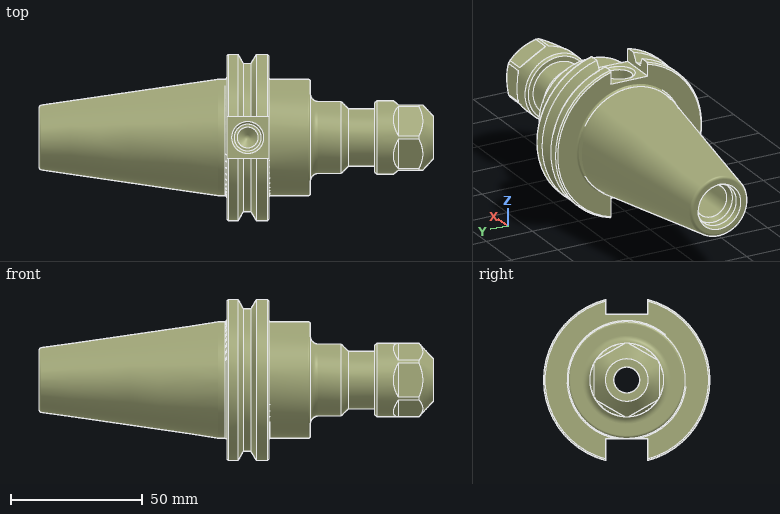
import cadquery as cq
import math


total_length = 150.0
through_bore_dia = 9.8

taper_ratio = 7 / 24
gauge_dia = 44.4
taper_end_x = 68.3
tail_edge_length = 0.9
tail_edge_depth = 1.2

tail_countersink_dia = 18.5
tail_countersink_depth = 2.1
pilot_bore_dia = 16.8
pilot_bore_depth = 5.1
pilot_cone_length = 1.4
thread_bore_dia = 13.4
thread_bore_depth = 30.0

flange_dia = 63.3
flange_start_x = 71.4
flange_width = 16.0
flange_chamfer = 0.6
flange_rear_fillet = 0.8
flange_front_fillet = 0.5
groove_floor_dia = 56.5
groove_start_x = 75.8
groove_floor_start_x = 77.7
groove_floor_end_x = 80.6
groove_end_x = 82.7

slot_width = 15.9
upper_slot_floor = 25.0
lower_slot_floor = 22.4
side_hole_x = 79.4
side_countersink_dia = 12.2
side_hole_dia = 10.2
side_hole_depth = 6.0
side_drill_dia = 8.0
side_drill_depth = 9.0
drill_point_angle = 118.0

hub_dia = 44.4
hub_end_x = 103.2
hub_edge_radius = 0.9
nose_dia = 27.5
nose_fillet_radius = 3.0
nose_cone_start_x = 115.0
stem_dia = 22.0

nut_dia = 28.0
nut_start_x = 127.5
nut_rear_chamfer = 0.9
nut_socket_depth = 13.5
nut_cone_start_x = 144.5
nut_face_dia = 16.8
nut_face_lip = 0.3
hex_across_flats = 24.9
hex_start_x = 136.7
hex_bevel_length = 2.0


def cone_rise(start_dia, end_dia):
    """Axial length of a 45 degree cone between two diameters."""
    return abs(start_dia - end_dia) / 2


def revolve_about_x(profile):
    """Turn a closed (x, radius) profile about the X axis."""
    return profile.close().revolve(360, (0, 0, 0), (1, 0, 0))


def turned_holder():
    """Outside of the holder, solid along the axis."""
    flange_end_x = flange_start_x + flange_width
    gauge_r = gauge_dia / 2
    flange_r = flange_dia / 2
    floor_r = groove_floor_dia / 2
    hub_r = hub_dia / 2
    nose_r = nose_dia / 2
    stem_r = stem_dia / 2
    tail_r = gauge_r - (taper_end_x - tail_edge_length) * taper_ratio / 2

    profile = (
        cq.Workplane("XY")
        .moveTo(0, 0)
        .lineTo(0, tail_r - tail_edge_depth)
        .tangentArcPoint((tail_edge_length, tail_r), relative=False)
        .lineTo(taper_end_x, gauge_r)
        .lineTo(flange_start_x - flange_rear_fillet, gauge_r)
        .tangentArcPoint((flange_start_x, gauge_r + flange_rear_fillet), relative=False)
        .lineTo(flange_start_x, flange_r - flange_chamfer)
        .lineTo(flange_start_x + flange_chamfer, flange_r)
        .lineTo(groove_start_x, flange_r)
        .lineTo(groove_floor_start_x, floor_r)
        .lineTo(groove_floor_end_x, floor_r)
        .lineTo(groove_end_x, flange_r)
        .lineTo(flange_end_x - flange_chamfer, flange_r)
        .lineTo(flange_end_x, flange_r - flange_chamfer)
        .lineTo(flange_end_x, hub_r + flange_front_fillet)
        .tangentArcPoint((flange_end_x + flange_front_fillet, hub_r), relative=False)
        .lineTo(hub_end_x - hub_edge_radius, hub_r)
        .tangentArcPoint((hub_end_x, hub_r - hub_edge_radius), relative=False)
        .lineTo(hub_end_x, nose_r + nose_fillet_radius)
        .tangentArcPoint((hub_end_x + nose_fillet_radius, nose_r), relative=False)
        .lineTo(nose_cone_start_x, nose_r)
        .lineTo(nose_cone_start_x + cone_rise(nose_dia, stem_dia), stem_r)
        .lineTo(nut_start_x + nut_socket_depth, stem_r)
        .lineTo(nut_start_x + nut_socket_depth, 0)
    )
    return revolve_about_x(profile)


def holder_bore():
    """Stepped bore, from the tail countersink to the through bore."""
    bore_cone_length = cone_rise(thread_bore_dia, through_bore_dia)
    profile = (
        cq.Workplane("XY")
        .moveTo(0, 0)
        .lineTo(0, tail_countersink_dia / 2)
        .lineTo(tail_countersink_depth, pilot_bore_dia / 2)
        .lineTo(pilot_bore_depth, pilot_bore_dia / 2)
        .lineTo(pilot_bore_depth + pilot_cone_length, thread_bore_dia / 2)
        .lineTo(thread_bore_depth, thread_bore_dia / 2)
        .lineTo(thread_bore_depth + bore_cone_length, through_bore_dia / 2)
        .lineTo(total_length, through_bore_dia / 2)
        .lineTo(total_length, 0)
    )
    return revolve_about_x(profile)


def drive_slot(floor_height, side):
    """Slot across the flange and its root fillets; side is +1 above the axis and -1 below it."""
    slot_start_x = flange_start_x - flange_rear_fillet
    slot_length = flange_rear_fillet + flange_width + flange_front_fillet
    slot_depth = flange_dia / 2 - floor_height
    return (
        cq.Workplane("XY")
        .box(slot_length, slot_width, slot_depth, centered=(False, True, True))
        .translate((slot_start_x, 0, side * (floor_height + slot_depth / 2)))
    )


def side_hole():
    """Blind countersunk hole in the floor of the upper slot, with a drill point."""
    countersink_depth = cone_rise(side_countersink_dia, side_hole_dia)
    point_length = side_drill_dia / 2 / math.tan(math.radians(drill_point_angle / 2))
    return (
        cq.Workplane("XZ")
        .moveTo(0, 0)
        .lineTo(side_countersink_dia / 2, 0)
        .lineTo(side_hole_dia / 2, -countersink_depth)
        .lineTo(side_hole_dia / 2, -side_hole_depth)
        .lineTo(side_drill_dia / 2, -side_hole_depth)
        .lineTo(side_drill_dia / 2, -side_drill_depth)
        .lineTo(0, -side_drill_depth - point_length)
        .close()
        .revolve(360, (0, 0, 0), (0, 1, 0))
        .translate((side_hole_x, 0, upper_slot_floor))
    )


def make_holder():
    return (
        turned_holder()
        .cut(holder_bore())
        .cut(drive_slot(upper_slot_floor, 1))
        .cut(drive_slot(lower_slot_floor, -1))
        .cut(side_hole())
    )


def turned_nut():
    """Nut with its socket for the holder stem and its front opening."""
    nut_r = nut_dia / 2
    socket_r = stem_dia / 2
    socket_end_x = nut_start_x + nut_socket_depth
    profile = (
        cq.Workplane("XY")
        .moveTo(nut_start_x, socket_r)
        .lineTo(nut_start_x, nut_r - nut_rear_chamfer)
        .lineTo(nut_start_x + nut_rear_chamfer, nut_r)
        .lineTo(nut_cone_start_x, nut_r)
        .lineTo(total_length - nut_face_lip, nut_face_dia / 2)
        .lineTo(total_length, nut_face_dia / 2 - nut_face_lip)
        .lineTo(total_length, through_bore_dia / 2)
        .lineTo(socket_end_x, through_bore_dia / 2)
        .lineTo(socket_end_x, socket_r)
    )
    return revolve_about_x(profile)


def flat_cutter():
    """Material outside the flat on the +Y side, with a sloped rear end."""
    flat_y = hex_across_flats / 2
    nut_r = nut_dia / 2
    return (
        cq.Workplane("XY")
        .moveTo(hex_start_x, flat_y)
        .lineTo(total_length, flat_y)
        .lineTo(total_length, nut_r)
        .lineTo(hex_start_x - hex_bevel_length, nut_r)
        .close()
        .extrude(nut_r, both=True)
    )


def make_nut():
    nut = turned_nut()
    flat_count = 6
    for i in range(flat_count):
        angle = i * 360 / flat_count
        nut = nut.cut(flat_cutter().rotate((0, 0, 0), (1, 0, 0), angle))
    return nut


holder = make_holder()
nut = make_nut()

result = cq.Compound.makeCompound([holder.val(), nut.val()])